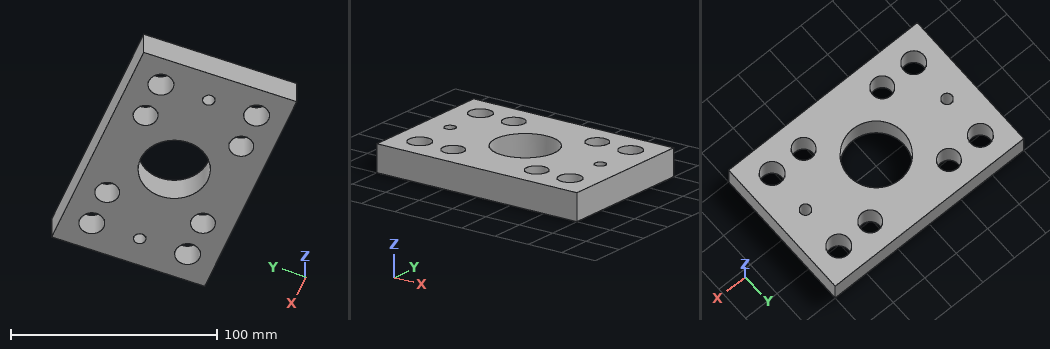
import cadquery as cq

length = 120.0
width = 80.0
thickness = 15.0

bore_diameter = 35.0
outer_hole_diameter = 12.5
inner_hole_diameter = 12.0
pin_hole_diameter = 6.0

outer_spacing_x = 90.0
inner_spacing_x = 50.0
row_spacing_y = 50.0


def drill(plate, points, diameter):
    """Drill through holes in the top face at the given points."""
    return plate.faces(">Z").workplane(origin=(0, 0, 0)).pushPoints(points).hole(diameter)


def corner_points(spacing_x, spacing_y):
    """Corners of a rectangle centred on the plate."""
    return [(sx * spacing_x / 2, sy * spacing_y / 2) for sx in (-1, 1) for sy in (-1, 1)]


plate = cq.Workplane("XY").box(length, width, thickness, centered=(True, True, False))

plate = drill(plate, [(0, 0)], bore_diameter)

plate = drill(plate, corner_points(outer_spacing_x, row_spacing_y), outer_hole_diameter)
plate = drill(plate, corner_points(inner_spacing_x, row_spacing_y), inner_hole_diameter)

pin_points = [(-outer_spacing_x / 2, 0), (outer_spacing_x / 2, 0)]
plate = drill(plate, pin_points, pin_hole_diameter)

result = plate